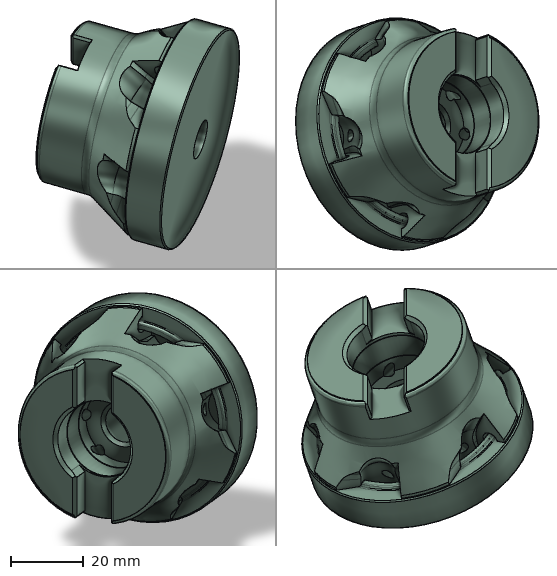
import cadquery as cq
import math

length = 40.0
flange_dia = 63.0
flange_start = 29.35
flange_chamfer = 0.4
hub_dia = 46.0
nose_length = 0.4
nose_rounding = 1.0
land_radius = 30.75
land_start = 28.35
cone_angle = 30.0
neck_fillet = 4.8

bore_dia = 22.0
bore_relief_dia = 22.3
bore_relief_start = 7.25
bore_relief_end = 14.85
bore_depth = 19.5
bore_chamfer = 1.0
through_dia = 11.0
through_chamfer = 1.0

slot_width = 10.4
slot_depth = 6.2
slot_chamfer = 0.95
slot_end_chamfer = 0.8
slot_bore_chamfer = 0.55

pocket_angles = (0, 62, 119, 183, 241, 303)
wall_tilt = 7.4
wall_offset = 2.3
pocket_reach = 30.25
pocket_top = 37.8
pocket_end = 44.1
gullet_radius = 6.0
gullet_offset = 6.2
gullet_knee = (27.2, 26.45)
gullet_entry_slope = 36.0
gullet_exit_slope = 15.0
gullet_entry_length = 25.2
gullet_exit_length = 12.6
seat_corner = (27.6, 21.55)
seat_slope = 33.0
seat_fillet = 10.1
runout_corner = (27.15, 23.2)
runout_slope = 26.6
runout_fillet = 5.35

lip_outer_radius = 27.3
lip_inner_radius = 24.9
lip_height = 0.75
lip_slope = 45.0
lip_blend_radius = 0.5
pocket_floor = 34.0

screw_hole_dia = 4.4
screw_hole_position = (29.5, 26.1)
screw_hole_depth = 2.5
coolant_dia = 3.0
coolant_entry_radius = 11.45
coolant_entry_angle = 34.0
coolant_exit_radius = 21.1
coolant_exit_angle = 16.4
coolant_exit_x = 30.1
coolant_overrun = 3.8

X_AXIS = ((0, 0, 0), (1, 0, 0))


def revolve_about_x(points):
    """Revolve a closed (x, radius) outline about the X axis."""
    return cq.Workplane("XY").polyline(points).close().revolve(360, *X_AXIS)


def blank():
    """Hub, neck fillet, cone and flange."""
    hub_radius = hub_dia / 2
    flange_radius = flange_dia / 2
    cone_tan = math.tan(math.radians(cone_angle))
    neck_x = land_start - (land_radius - hub_radius) / cone_tan
    tangent = neck_fillet * math.tan(math.radians(cone_angle / 2))
    half_angle = math.radians(cone_angle / 2)
    fillet_start = neck_x - tangent
    fillet_mid = (
        fillet_start + neck_fillet * math.sin(half_angle),
        hub_radius + neck_fillet * (1 - math.cos(half_angle)),
    )
    fillet_end = (
        neck_x + tangent * math.cos(2 * half_angle),
        hub_radius + tangent * math.sin(2 * half_angle),
    )
    return (
        cq.Workplane("XY")
        .lineTo(0, hub_radius - nose_rounding)
        .lineTo(nose_length, hub_radius - nose_rounding)
        .radiusArc((nose_length + nose_rounding, hub_radius), nose_rounding)
        .lineTo(fillet_start, hub_radius)
        .threePointArc(fillet_mid, fillet_end)
        .lineTo(land_start, land_radius)
        .lineTo(flange_start, land_radius)
        .lineTo(flange_start, flange_radius - flange_chamfer)
        .lineTo(flange_start + flange_chamfer, flange_radius)
        .lineTo(length - flange_chamfer, flange_radius)
        .lineTo(length, flange_radius - flange_chamfer)
        .lineTo(length, 0)
        .close()
        .revolve(360, *X_AXIS)
    )


def bore():
    """Chamfered bore with a shallow relief, and the hole through its floor."""
    bore_radius = bore_dia / 2
    relief_radius = bore_relief_dia / 2
    through_radius = through_dia / 2
    return revolve_about_x([
        (0, 0),
        (0, bore_radius + bore_chamfer),
        (bore_chamfer, bore_radius),
        (bore_relief_start, bore_radius),
        (bore_relief_start, relief_radius),
        (bore_relief_end, relief_radius),
        (bore_relief_end, bore_radius),
        (bore_depth, bore_radius),
        (bore_depth, through_radius + through_chamfer),
        (bore_depth + through_chamfer, through_radius),
        (length, through_radius),
        (length, 0),
    ])


def drive_slot():
    """Slot through the hub with chamfered front edges."""
    half_width = slot_width / 2
    return (
        cq.Workplane("XY")
        .polyline([
            (0, half_width + slot_chamfer),
            (slot_chamfer, half_width),
            (slot_depth, half_width),
            (slot_depth, -half_width),
            (slot_chamfer, -half_width),
            (0, -half_width - slot_chamfer),
        ])
        .close()
        .extrude(hub_dia / 2 + 0.6, both=True)
    )


def slot_flare(start_z, end_z):
    """45 degree flare of the slot, widening from its own width at start_z up to end_z."""
    half_width = slot_width / 2
    half_mouth = half_width + abs(end_z - start_z)
    return (
        cq.Workplane("YZ")
        .polyline([
            (-half_width, start_z),
            (half_width, start_z),
            (half_mouth, end_z),
            (-half_mouth, end_z),
        ])
        .close()
        .extrude(slot_depth)
    )


def slot_corners():
    """Chamfers on the slot walls where they meet the outside of the hub and the bore."""
    half_width = slot_width / 2
    hub_corner_z = math.sqrt((hub_dia / 2) ** 2 - half_width ** 2)
    bore_corner_z = math.sqrt((bore_dia / 2) ** 2 - half_width ** 2)
    outer = slot_flare(hub_corner_z - slot_end_chamfer, hub_corner_z + slot_end_chamfer)
    inner_start_z = bore_corner_z + slot_bore_chamfer
    inner = slot_flare(inner_start_z, (inner_start_z + half_width) / 2)
    corners = outer.union(inner)
    return corners.union(corners.mirror("XY"))


def wall_plane(distance=0.0):
    """Sketch plane parallel to the pocket wall: local x runs along the part, local y radially."""
    tilt = math.radians(wall_tilt)
    normal = cq.Vector(-math.sin(tilt), -math.cos(tilt), 0)
    origin = cq.Vector(0, wall_offset, 0) + normal * distance
    return cq.Plane(origin=origin, xDir=(math.cos(tilt), -math.sin(tilt), 0), normal=normal)


def pocket_step(corner, slope, fillet, start, end):
    """Pocket floor: a sloping face rounded into a flat one, swept square to the wall."""
    corner_x, floor = corner
    rise = pocket_top - floor
    ramp_top_x = corner_x - rise / math.tan(math.radians(slope))
    step = (
        cq.Workplane(wall_plane(start))
        .polyline([(ramp_top_x, pocket_top), corner, (pocket_end, floor), (pocket_end, pocket_top)])
        .close()
        .extrude(end - start)
    )
    corner_point = wall_plane((start + end) / 2).toWorldCoords(corner)
    return step.edges(cq.selectors.NearestToPointSelector(corner_point.toTuple())).fillet(fillet)


def gullet():
    """Round chip gullet that bends from a steep to a shallow slope."""
    plane = wall_plane(gullet_offset)
    knee_x, knee_y = gullet_knee
    entry = math.radians(gullet_entry_slope)
    leave = math.radians(gullet_exit_slope)
    entry_point = (
        knee_x - gullet_entry_length * math.cos(entry),
        knee_y + gullet_entry_length * math.sin(entry),
    )
    exit_point = (
        knee_x + gullet_exit_length * math.cos(leave),
        knee_y - gullet_exit_length * math.sin(leave),
    )
    path = cq.Workplane(plane).polyline([entry_point, gullet_knee, exit_point])
    start = plane.toWorldCoords(entry_point)
    direction = plane.toWorldCoords(gullet_knee) - start
    section = cq.Workplane(cq.Plane(origin=start, xDir=plane.zDir, normal=direction))
    return section.circle(gullet_radius).sweep(path, transition="right")


def pocket_limit():
    """Space open to the pocket: up to the flange face, around the lip and on to the deep floor."""
    lip_face = flange_start - lip_height
    slope = math.radians(lip_slope)
    blend_radial = lip_blend_radius * math.sin(slope)
    blend_axial = lip_blend_radius * (1 - math.cos(slope))
    ramp_start = (flange_start - blend_axial, lip_outer_radius - blend_radial)
    ramp_height = lip_height - 2 * blend_axial
    ramp_end = (lip_face + blend_axial, ramp_start[1] - ramp_height / math.tan(slope))
    return (
        cq.Workplane("XY")
        .lineTo(0, pocket_top)
        .lineTo(flange_start, pocket_top)
        .lineTo(flange_start, lip_outer_radius)
        .radiusArc(ramp_start, lip_blend_radius)
        .lineTo(*ramp_end)
        .radiusArc((lip_face, ramp_end[1] - blend_radial), -lip_blend_radius)
        .lineTo(lip_face, lip_inner_radius)
        .lineTo(pocket_floor, lip_inner_radius)
        .lineTo(pocket_floor, 0)
        .close()
        .revolve(360, *X_AXIS)
    )


def pocket():
    """Pocket at angle zero: seat floor, chip gullet and run-out, all on one side of the wall."""
    seat = pocket_step(seat_corner, seat_slope, seat_fillet, 0, gullet_offset)
    runout = pocket_step(runout_corner, runout_slope, runout_fillet, gullet_offset, pocket_reach)
    wall_side = cq.Workplane(wall_plane()).rect(4 * length, 4 * length).extrude(pocket_reach)
    return seat.union(runout).union(gullet().intersect(wall_side)).intersect(pocket_limit())


def screw_hole():
    """Blind hole square to the pocket wall."""
    sketch = cq.Workplane(wall_plane(-screw_hole_depth)).center(*screw_hole_position)
    return sketch.circle(screw_hole_dia / 2).extrude(screw_hole_depth)


def polar_point(x, radius, angle):
    """Point at an angle measured from +Z towards -Y."""
    theta = math.radians(angle)
    return cq.Vector(x, -radius * math.sin(theta), radius * math.cos(theta))


def coolant_hole():
    """Straight hole from the corner of the bore floor to the gullet."""
    entry = polar_point(bore_depth, coolant_entry_radius, coolant_entry_angle)
    leave = polar_point(coolant_exit_x, coolant_exit_radius, coolant_exit_angle)
    direction = (leave - entry).normalized()
    start = entry - direction * coolant_overrun
    hole_length = (leave - start).Length + coolant_overrun
    return cq.Workplane(cq.Plane(origin=start, normal=direction)).circle(coolant_dia / 2).extrude(hole_length)


result = blank().cut(bore()).cut(drive_slot()).cut(slot_corners())

pocket_cutters = (pocket(), screw_hole().intersect(pocket_limit()), coolant_hole())
for angle in pocket_angles:
    for cutter in pocket_cutters:
        result = result.cut(cutter.rotate(*X_AXIS, angle))